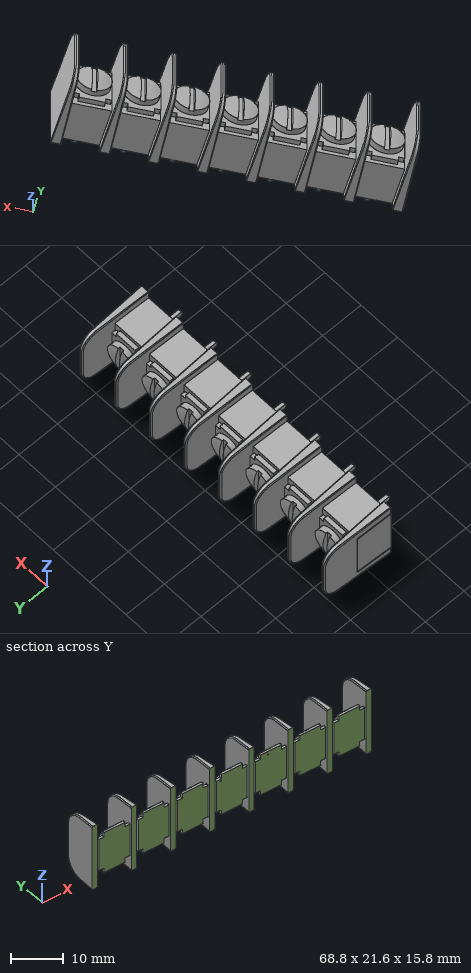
import cadquery as cq

length = 68.8
overall_depth = 21.6
pole_count = 7

barrier_count = pole_count + 1
barrier_depth = 16.7
barrier_base_height = 15.75
barrier_tip_height = 14.8
barrier_base_thickness = 2.05
barrier_tip_thickness = 0.9
barrier_corner_radius = 3.85
barrier_base_bevel = 0.15
barrier_tip_bevel = 0.3

body_depth = 8.55
body_base_height = 11.85
body_tip_height = 11.5
end_panel_step = 0.15

pitch = (length - barrier_base_thickness - end_panel_step) / pole_count
first_barrier_x = -length / 2 + end_panel_step + barrier_base_thickness / 2
last_barrier_x = first_barrier_x + pole_count * pitch
barrier_side_slope = (barrier_base_thickness - barrier_tip_thickness) / 2 / barrier_depth

plate_thickness = 1.0
plate_width = 7.6
plate_height = 7.6
tab_width = 5.15
tab_height = 9.65

head_diameter = 7.0
head_rim_height = 1.4
head_dome_height = 0.75
slot_width = 1.0
slot_depth = 1.2

pin_length = overall_depth - barrier_depth
pin_thickness = 0.8
pin_height = 1.4


side_plane = cq.Plane(origin=(0, 0, 0), xDir=(0, 0, 1), normal=(-1, 0, 0))


def tapered_profile(plane, base_width, tip_width, depth):
    """Symmetric trapezoid standing on the mounting face."""
    return cq.Workplane(plane).polyline([
        (-base_width / 2, 0),
        (base_width / 2, 0),
        (tip_width / 2, depth),
        (-tip_width / 2, depth),
    ]).close()


def rounded_outline(base_height, tip_height, depth, corner_radius, root_depth=0):
    """Drafted side outline with round outer corners; root_depth extends it below the mounting face."""
    root_half_height = base_height / 2 + (base_height - tip_height) / 2 * root_depth / depth
    return (
        cq.Sketch()
        .polygon([
            (-root_half_height, -root_depth),
            (root_half_height, -root_depth),
            (tip_height / 2, depth),
            (-tip_height / 2, depth),
            (-root_half_height, -root_depth),
        ])
        .vertices(">Y")
        .fillet(corner_radius)
    )


def make_barrier():
    """Barrier centred on X = 0; its edge bevels widen away from the mounting face."""
    slab = tapered_profile(
        "XY", barrier_base_thickness, barrier_tip_thickness, barrier_depth
    ).extrude(barrier_base_height / 2, both=True)
    outline = rounded_outline(
        barrier_base_height, barrier_tip_height, barrier_depth, barrier_corner_radius
    )
    barrier = slab.intersect(
        cq.Workplane(side_plane).placeSketch(outline).extrude(barrier_base_thickness, both=True)
    )

    base_reach = barrier_base_thickness / 2 - barrier_base_bevel
    tip_reach = barrier_tip_thickness / 2 - barrier_tip_bevel
    roof_outline = rounded_outline(
        barrier_base_height + 2 * base_reach,
        barrier_tip_height + 2 * tip_reach,
        barrier_depth + tip_reach,
        barrier_corner_radius + tip_reach,
        root_depth=2 * barrier_base_thickness,
    )
    roof = cq.Workplane(side_plane).placeSketch(roof_outline).extrude(barrier_base_thickness, taper=45)
    return barrier.intersect(roof.union(roof.mirror("YZ")))


def make_body():
    """Drafted housing bar; its first end follows the slope of the barrier side."""
    bar = tapered_profile(
        side_plane, body_base_height, body_tip_height, body_depth
    ).extrude(length, both=True)
    plan = cq.Workplane("XY").polyline([
        (-length / 2, 0),
        (last_barrier_x, 0),
        (last_barrier_x, body_depth),
        (-length / 2 + barrier_side_slope * body_depth, body_depth),
    ]).close().extrude(body_base_height, both=True)
    return bar.intersect(plan)


def make_plate():
    """Terminal plate lying on the outer face of the body."""
    plate_centre = (0, body_depth + plate_thickness / 2, 0)
    plate = cq.Workplane("XY").box(plate_width, plate_thickness, plate_height)
    tab = cq.Workplane("XY").box(tab_width, plate_thickness, tab_height)
    return plate.union(tab).translate(plate_centre)


def make_screw_head():
    """Screw head seated on the plate, with its slot running along Z."""
    radius = head_diameter / 2
    seat = body_depth + plate_thickness
    rim = seat + head_rim_height
    crown = rim + head_dome_height
    dome_radius = (radius**2 + head_dome_height**2) / (2 * head_dome_height)
    head = (
        cq.Workplane("XY")
        .moveTo(0, seat)
        .lineTo(radius, seat)
        .lineTo(radius, rim)
        .radiusArc((0, crown), -dome_radius)
        .close()
        .revolve(360, (0, 0, 0), (0, 1, 0))
    )
    slot = cq.Workplane("XY").box(slot_width, 2 * slot_depth, head_diameter).translate((0, crown, 0))
    return head.cut(slot)


def make_pin():
    """Solder pin projecting from the mounting face."""
    half_height = pin_height / 2
    straight_end = -(pin_length - half_height)
    return (
        cq.Workplane("YZ")
        .moveTo(0, -half_height)
        .lineTo(straight_end, -half_height)
        .threePointArc((-pin_length, 0), (straight_end, half_height))
        .lineTo(0, half_height)
        .close()
        .extrude(pin_thickness / 2, both=True)
    )


barrier = make_barrier()
pole = make_plate().union(make_screw_head()).union(make_pin())

result = make_body()
for index in range(barrier_count):
    result = result.union(barrier.translate((first_barrier_x + index * pitch, 0, 0)))
for index in range(pole_count):
    result = result.union(pole.translate((first_barrier_x + (index + 0.5) * pitch, 0, 0)))